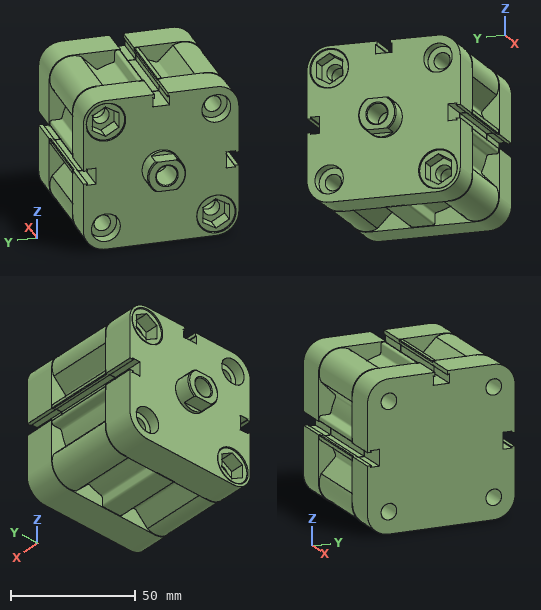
import cadquery as cq
import math

ROD_STICK_OUT = 8.0
TOTAL_LENGTH = 69.5
CAP_THICKNESS = 14.7
BARREL_START = ROD_STICK_OUT + CAP_THICKNESS
BARREL_LENGTH = TOTAL_LENGTH - ROD_STICK_OUT - 2 * CAP_THICKNESS

CAP_SIZE = 65.5
CAP_HALF = CAP_SIZE / 2
HOLE_OFFSET = 23.2
CAP_CORNER_RADIUS = CAP_HALF - HOLE_OFFSET

BARREL_INSET = 0.3
BARREL_HALF = CAP_HALF - BARREL_INSET
LUG_RADIUS = BARREL_HALF - HOLE_OFFSET
LUG_HALF_WIDTH = 8.7
WALL_RADIUS = 27.95
RAIL_HALF_WIDTH = 5.2
RAIL_ROUND = 0.9
POCKET_FILLET = 1.05

NECK_WIDTH = 5.6
LIP_TIP_DEPTH = 1.8
LIP_ROOT_DEPTH = 1.45
SLOT_WIDTH = 7.0
SLOT_DEPTH = 5.35
BARREL_SLOT_CLEARANCE = 0.15
NECK_CHAMFER = 0.35

HOLE_DIAMETER = 6.9
PLAIN_SINK_DIAMETER = 12.1
PLAIN_SINK_DEPTH = 5.0
SCREW_SINK_DIAMETER = 16.55
PLAIN_CORNERS = [(-1, 1), (1, -1)]
SCREW_CORNERS = [(1, 1), (-1, -1)]

SCREW_DIAMETER = 16.0
SCREW_LENGTH = 12.5
SOCKET_ACROSS_FLATS = 11.1
SOCKET_DEPTH = 6.4
SCREW_RECESS = 0.5

ROD_DIAMETER = 16.0
ROD_LENGTH = BARREL_START
ROD_CHAMFER_LENGTH = 0.55
ROD_CHAMFER_HEIGHT = 0.4
ROD_ACROSS_FLATS = 13.0
FLAT_LENGTH = 6.3
FLAT_RUNOUT = 0.3
BORE_DIAMETER = 8.6
BORE_DEPTH = 13.9
BORE_TIP_ANGLE = 118.0
BORE_CHAMFER = 0.4


def section(x):
    """Sketch plane across the axis at x, with local axes along Y and Z."""
    return cq.Workplane("YZ", origin=(x, 0, 0))


def corner_points(corners):
    """Hole centres for the given (Y, Z) corner signs."""
    return [(y_sign * HOLE_OFFSET, z_sign * HOLE_OFFSET) for y_sign, z_sign in corners]


def cut_slots(body, slot):
    """Cut the slot, drawn on the +Z side, out of the -Y, +Z and +Y sides."""
    for angle in (-90, 0, 90):
        body = body.cut(slot.rotate((0, 0, 0), (1, 0, 0), angle))
    return body


def t_slot(x, length, outer, clearance=0):
    """T-slot in the +Z side, open at height outer; clearance enlarges its wide part."""
    floor = CAP_HALF - SLOT_DEPTH - clearance
    half_slot = SLOT_WIDTH / 2 + clearance
    half_neck = NECK_WIDTH / 2
    return (
        section(x)
        .polyline([
            (-half_neck, outer),
            (-half_neck, CAP_HALF - LIP_TIP_DEPTH),
            (-half_slot, CAP_HALF - LIP_ROOT_DEPTH),
            (-half_slot, floor),
            (half_slot, floor),
            (half_slot, CAP_HALF - LIP_ROOT_DEPTH),
            (half_neck, CAP_HALF - LIP_TIP_DEPTH),
            (half_neck, outer),
        ])
        .close()
        .extrude(length)
    )


def make_cap(x):
    """Rounded square end cap starting at x."""
    block = section(x).rect(CAP_SIZE, CAP_SIZE).extrude(CAP_THICKNESS)
    cap = block.edges("|X").fillet(CAP_CORNER_RADIUS)
    return cut_slots(cap, t_slot(x, CAP_THICKNESS, CAP_HALF))


def corner_lug():
    """Lug reaching from the axis to one corner, with parallel sides and a round end."""
    lug_center = HOLE_OFFSET * math.sqrt(2)
    side_end = lug_center + math.sqrt(LUG_RADIUS**2 - LUG_HALF_WIDTH**2)
    return (
        section(BARREL_START)
        .moveTo(0, -LUG_HALF_WIDTH)
        .lineTo(side_end, -LUG_HALF_WIDTH)
        .threePointArc((lug_center + LUG_RADIUS, 0), (side_end, LUG_HALF_WIDTH))
        .lineTo(0, LUG_HALF_WIDTH)
        .close()
        .extrude(BARREL_LENGTH)
        .rotate((0, 0, 0), (1, 0, 0), 45)
    )


def side_rail():
    """Rail on the +Z side with rounded outer edges."""
    return (
        section(BARREL_START).center(0, BARREL_HALF / 2)
        .rect(2 * RAIL_HALF_WIDTH, BARREL_HALF).extrude(BARREL_LENGTH)
        .edges("|X and >Z").fillet(RAIL_ROUND)
    )


def neck_bevel():
    """Wedge that bevels the outer edges of the slot neck in the +Z rail."""
    half_neck = NECK_WIDTH / 2
    return (
        section(BARREL_START)
        .polyline([
            (-half_neck - NECK_CHAMFER, BARREL_HALF),
            (half_neck + NECK_CHAMFER, BARREL_HALF),
            (half_neck, BARREL_HALF - NECK_CHAMFER),
            (-half_neck, BARREL_HALF - NECK_CHAMFER),
        ])
        .close()
        .extrude(BARREL_LENGTH)
    )


def pocket_floor_edges(barrel):
    """Lengthwise edges where lugs and rails meet the round tube wall."""
    def on_wall(edge):
        center = edge.Center()
        return abs(math.hypot(center.y, center.z) - WALL_RADIUS) < 0.001
    return barrel.edges("|X").filter(on_wall)


def make_barrel():
    barrel = section(BARREL_START).circle(WALL_RADIUS).extrude(BARREL_LENGTH)
    lug = corner_lug()
    rail = side_rail()
    for side in range(4):
        barrel = barrel.union(lug.rotate((0, 0, 0), (1, 0, 0), 90 * side))
        barrel = barrel.union(rail.rotate((0, 0, 0), (1, 0, 0), 90 * side))
    barrel = pocket_floor_edges(barrel).fillet(POCKET_FILLET)
    slot = t_slot(BARREL_START, BARREL_LENGTH, BARREL_HALF, BARREL_SLOT_CLEARANCE)
    return cut_slots(barrel, slot.union(neck_bevel()))


def cut_holes(body, corners, diameter, depth):
    """Cut round holes into the front face at the given corners."""
    points = corner_points(corners)
    holes = section(ROD_STICK_OUT).pushPoints(points).circle(diameter / 2).extrude(depth)
    return body.cut(holes)


def make_housing():
    housing = make_cap(ROD_STICK_OUT).union(make_barrel()).union(make_cap(BARREL_START + BARREL_LENGTH))
    housing = cut_holes(housing, PLAIN_CORNERS + SCREW_CORNERS, HOLE_DIAMETER, TOTAL_LENGTH)
    housing = cut_holes(housing, PLAIN_CORNERS, PLAIN_SINK_DIAMETER, PLAIN_SINK_DEPTH)
    housing = cut_holes(housing, SCREW_CORNERS, SCREW_SINK_DIAMETER, SCREW_RECESS + SCREW_LENGTH)
    rod_seat = section(ROD_STICK_OUT).circle(ROD_DIAMETER / 2).extrude(ROD_LENGTH - ROD_STICK_OUT)
    return housing.cut(rod_seat)


def make_screw(center):
    """Hollow screw, set just below the front face and resting on the floor of its sink."""
    y, z = center
    front = section(ROD_STICK_OUT + SCREW_RECESS)
    across_corners = SOCKET_ACROSS_FLATS / math.cos(math.pi / 6)
    body = front.circle(SCREW_DIAMETER / 2).circle(HOLE_DIAMETER / 2).extrude(SCREW_LENGTH)
    socket = front.polygon(6, across_corners).extrude(SOCKET_DEPTH).rotate((0, 0, 0), (1, 0, 0), 90)
    return body.cut(socket).translate((0, y, z))


def revolve_about_axis(points):
    """Turn an (X, radius) outline about the X axis."""
    return cq.Workplane("XZ").polyline(points).close().revolve(360, (0, 0, 0), (1, 0, 0))


def make_rod():
    radius = ROD_DIAMETER / 2
    rod = revolve_about_axis([
        (0, 0),
        (0, radius - ROD_CHAMFER_HEIGHT),
        (ROD_CHAMFER_LENGTH, radius),
        (ROD_LENGTH, radius),
        (ROD_LENGTH, 0),
    ])

    bore_radius = BORE_DIAMETER / 2
    tip_length = bore_radius / math.tan(math.radians(BORE_TIP_ANGLE / 2))
    bore = revolve_about_axis([
        (0, 0),
        (0, bore_radius + BORE_CHAMFER),
        (BORE_CHAMFER, bore_radius),
        (BORE_DEPTH, bore_radius),
        (BORE_DEPTH + tip_length, 0),
    ])

    half_flats = ROD_ACROSS_FLATS / 2
    flat_cutter = (
        cq.Workplane("XZ")
        .polyline([
            (0, half_flats),
            (FLAT_LENGTH, half_flats),
            (FLAT_LENGTH + FLAT_RUNOUT, radius),
            (0, radius),
        ])
        .close()
        .extrude(radius, both=True)
    )
    return rod.cut(bore).cut(flat_cutter).cut(flat_cutter.mirror("XY"))


housing = make_housing()
rod = make_rod()
screws = [make_screw(center) for center in corner_points(SCREW_CORNERS)]

result = cq.Compound.makeCompound([housing.val(), rod.val(), *[screw.val() for screw in screws]])